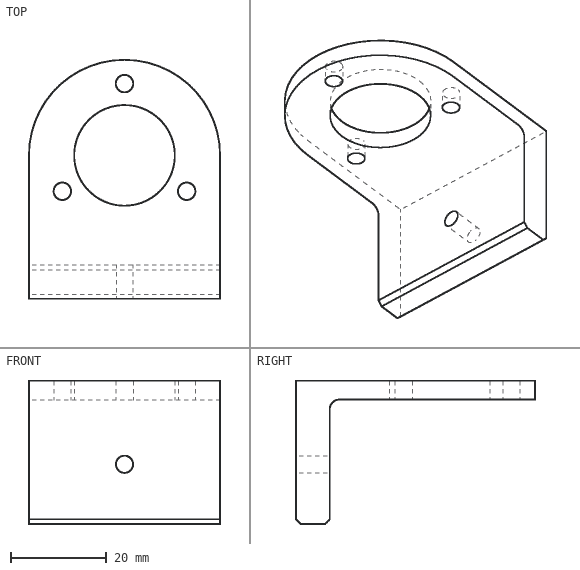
import cadquery as cq

width = 40.0
length = 50.0
height = 30.0

plate_thickness = 4.0
wall_thickness = 7.1
inner_fillet = 2.0
foot_chamfer = 1.0

bore_diameter = 21.0
bolt_circle_radius = 15.0
bolt_count = 3
bolt_hole_diameter = 3.6
wall_hole_diameter = 3.55
wall_hole_depth_below_top = 17.5

end_radius = width / 2
bore_center_y = length - end_radius


def make_plate():
    """Horizontal plate with a full-round rear end."""
    return (
        cq.Workplane("XY")
        .workplane(offset=height - plate_thickness)
        .moveTo(-end_radius, 0)
        .lineTo(end_radius, 0)
        .lineTo(end_radius, bore_center_y)
        .threePointArc((0, length), (-end_radius, bore_center_y))
        .close()
        .extrude(plate_thickness)
    )


def make_wall():
    """Vertical front wall with both long edges of its foot chamfered."""
    wall = cq.Workplane("XY").box(width, wall_thickness, height, centered=(True, False, False))
    return wall.faces("<Z").edges("|X").chamfer(foot_chamfer)


def fillet_inner_corner(body):
    """Round the inside corner between the plate and the wall."""
    corner = (0, wall_thickness, height - plate_thickness)
    return body.edges(cq.selectors.NearestToPointSelector(corner)).fillet(inner_fillet)


def cut_plate_holes(body):
    """Central bore and the ring of bolt holes around it, one of them at the rear."""
    plate_top = cq.Workplane("XY", origin=(0, bore_center_y, height))
    bore = plate_top.circle(bore_diameter / 2).extrude(-plate_thickness)
    bolt_holes = (
        plate_top.polarArray(bolt_circle_radius, 90, 360, bolt_count)
        .circle(bolt_hole_diameter / 2)
        .extrude(-plate_thickness)
    )
    return body.cut(bore).cut(bolt_holes)


def cut_wall_hole(body):
    """Hole on the symmetry plane, straight through the front wall."""
    front = cq.Workplane("XZ", origin=(0, 0, height - wall_hole_depth_below_top))
    return body.cut(front.circle(wall_hole_diameter / 2).extrude(-wall_thickness))


bracket = make_plate().union(make_wall())
bracket = fillet_inner_corner(bracket)
bracket = cut_plate_holes(bracket)
result = cut_wall_hole(bracket)